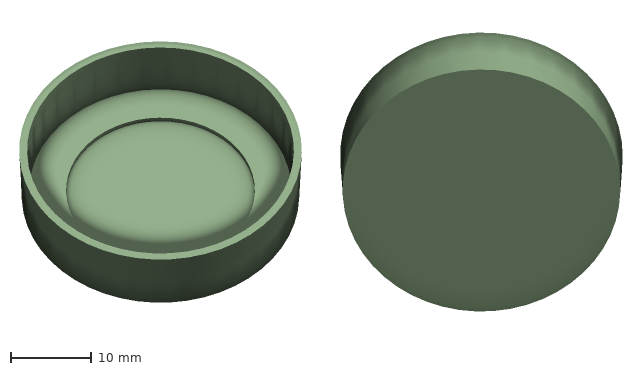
import cadquery as cq

height = 8.83
rim_diameter = 35.17
base_diameter = 34.55
wall_thickness = 1.0
floor_thickness = 1.0
recess_diameter = 23.5
recess_depth = 0.7

rim_radius = rim_diameter / 2
base_radius = base_diameter / 2
flare_per_height = (rim_radius - base_radius) / height
floor_radius = base_radius + flare_per_height * floor_thickness - wall_thickness

tray = (
    cq.Workplane("XZ")
    .moveTo(0, 0)
    .lineTo(base_radius, 0)
    .lineTo(rim_radius, height)
    .lineTo(rim_radius - wall_thickness, height)
    .lineTo(floor_radius, floor_thickness)
    .lineTo(0, floor_thickness)
    .close()
    .revolve(360, (0, 0, 0), (0, 1, 0))
)

recess = (
    cq.Workplane("XY")
    .workplane(offset=floor_thickness - recess_depth)
    .circle(recess_diameter / 2)
    .extrude(recess_depth)
)

result = tray.cut(recess)